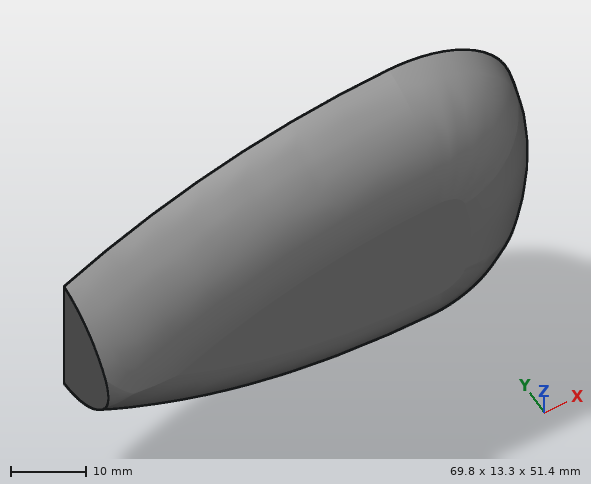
import cadquery as cq
import math

LENGTH = 69.8
THICKNESS = 13.25
HEIGHT = 51.37

RIM_RADIUS = 15.0
BACK_OVERHANG = RIM_RADIUS - THICKNESS
BACK_INSET = RIM_RADIUS - math.sqrt(RIM_RADIUS**2 - BACK_OVERHANG**2)
HALF_HEIGHT = HEIGHT / 2 + BACK_INSET
OUTER_END_X = LENGTH + BACK_INSET

SIDE_RADIUS = 95.3
CORNER_RADIUS = 19.2
TIP_RADIUS = 12.0
TIP_X = -8.3
WIDEST_X = 49.9

BLANK_DEPTH = 2 * RIM_RADIUS
CLEARANCE = 100.0


def slab(x_start, x_end):
    """Block of full thickness, generously tall, between two X stations."""
    return (
        cq.Workplane("XY")
        .box(x_end - x_start, THICKNESS, 2 * CLEARANCE, centered=(False, False, True))
        .translate((x_start, -THICKNESS, 0))
    )


def rounded_disc(center_x, center_z, radius):
    """Disc with its axis along Y and its front rim rolled over.

    A disc smaller than the rim radius has no flat and ends in a point.
    """
    rim_center = radius - RIM_RADIUS
    start_angle = math.acos(max(0, -rim_center) / RIM_RADIUS)

    def rim_point(angle):
        return (
            rim_center + RIM_RADIUS * math.cos(angle),
            RIM_RADIUS - RIM_RADIUS * math.sin(angle),
        )

    front_point = rim_point(start_angle)
    profile = cq.Workplane("XY").moveTo(0, front_point[1])
    if rim_center > 0:
        profile = profile.lineTo(*front_point)
    return (
        profile.threePointArc(rim_point(start_angle / 2), rim_point(0))
        .lineTo(0, RIM_RADIUS)
        .close()
        .revolve(360, (0, 0, 0), (0, 1, 0))
        .translate((center_x, -THICKNESS, center_z))
    )


def tapered_sides():
    """Two large rounded discs overlap in a lens that meets in a front crease."""
    side_offset = SIDE_RADIUS - HALF_HEIGHT
    upper = rounded_disc(WIDEST_X, -side_offset, SIDE_RADIUS)
    lower = rounded_disc(WIDEST_X, side_offset, SIDE_RADIUS)
    return upper.intersect(lower).intersect(slab(0, WIDEST_X))


def tip_relief():
    """Material shaved off the front crease where it runs into the cut end."""
    tip_center_x = TIP_X + TIP_RADIUS
    wedge = (
        cq.Workplane("XZ", origin=(0, -THICKNESS, 0))
        .moveTo(0, -tip_center_x)
        .lineTo(tip_center_x, 0)
        .lineTo(0, tip_center_x)
        .close()
        .extrude(-THICKNESS)
    )
    return wedge.cut(rounded_disc(tip_center_x, 0, TIP_RADIUS))


def round_end():
    """Blunt end: two corner arcs joined by a shallow arc, with a rolled rim."""
    corner_z = HALF_HEIGHT - CORNER_RADIUS
    end_bulge = OUTER_END_X - CORNER_RADIUS - WIDEST_X
    end_angle = 2 * math.atan(end_bulge / corner_z)
    join_x = WIDEST_X + CORNER_RADIUS * math.cos(end_angle)
    join_z = corner_z + CORNER_RADIUS * math.sin(end_angle)
    middle_angle = (end_angle + math.pi / 2) / 2
    middle_x = WIDEST_X + CORNER_RADIUS * math.cos(middle_angle)
    middle_z = corner_z + CORNER_RADIUS * math.sin(middle_angle)
    blank = (
        cq.Workplane("XZ", origin=(0, -THICKNESS, 0))
        .moveTo(0, HALF_HEIGHT)
        .lineTo(WIDEST_X, HALF_HEIGHT)
        .threePointArc((middle_x, middle_z), (join_x, join_z))
        .threePointArc((OUTER_END_X, 0), (join_x, -join_z))
        .threePointArc((middle_x, -middle_z), (WIDEST_X, -HALF_HEIGHT))
        .lineTo(0, -HALF_HEIGHT)
        .close()
        .extrude(-BLANK_DEPTH)
    )
    rounded = blank.faces("<Y").edges("not <X").fillet(RIM_RADIUS)
    return rounded.intersect(slab(WIDEST_X, CLEARANCE))


result = tapered_sides().cut(tip_relief()).union(round_end())